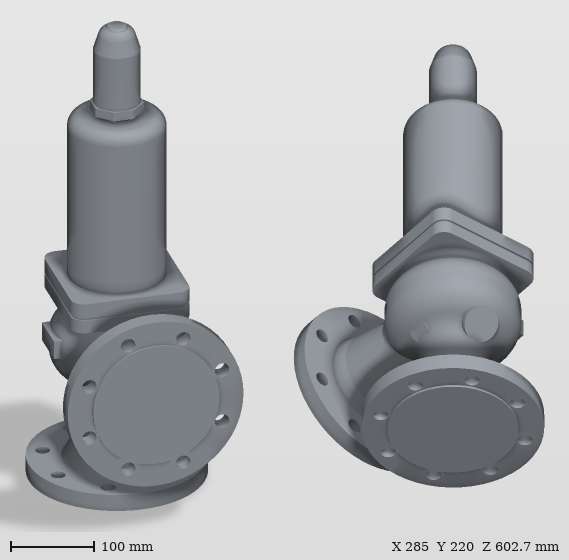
import cadquery as cq
import math


FLANGE_RADIUS = 110.0
FLANGE_THICKNESS = 24.5
RAISED_FACE_RADIUS = 79.0
RAISED_FACE_HEIGHT = 3.0
BOLT_CIRCLE_RADIUS = 90.0
BOLT_HOLE_DIAMETER = 18.0
BOLT_COUNT = 8

OUTLET_HEIGHT = 175.0
OUTLET_REACH = 175.0
NECK_FLARE_RADIUS = 67.0
OUTLET_FLARE_END = 42.0
OUTLET_FLARE_END_RADIUS = 60.4
OUTLET_NECK_RADIUS = 48.7
OUTLET_NECK_START = 65.0

INLET_FLARE_END = 47.0
INLET_FLARE_END_RADIUS = 53.7
INLET_CONE_END = 101.5
THROAT_RADIUS = 41.5
THROAT_HEIGHT = 108.0

BODY_RADIUS = 82.5
BELLY_BOTTOM = 172.3
BELLY_TOP = 188.0
LOWER_ARC_RADIUS = 40.0
UPPER_ARC_RADIUS = 34.0
COLLAR_RADIUS = 62.5
COLLAR_BOTTOM = 222.4
COLLAR_TOP = 224.2

PLATE_WIDTH = 148.0
PLATE_CORNER_RADIUS = 17.0
LOWER_PLATE_BOTTOM = 231.0
LOWER_PLATE_TOP = 248.0
UPPER_PLATE_BOTTOM = 251.0
UPPER_PLATE_TOP = 270.0
GASKET_INSET = 2.0

BONNET_RADIUS = 60.0
BONNET_TOP = 483.5
BONNET_ROUNDING = 15.5

OCTAGON_BOTTOM = 489.0
OCTAGON_TOP = 500.5
OCTAGON_FLATS = 60.5
OCTAGON_SIDES = 8
CAP_NECK_RADIUS = 27.0
CAP_NECK_TOP = 486.0
CAP_RADIUS = 28.7
CAP_CYLINDER_TOP = 571.5
CAP_CONE_TOP = 591.5
CAP_CONE_TOP_RADIUS = 22.5
CAP_CROWN_HEIGHT = 600.0
CAP_CROWN_RADIUS = 15.0
BUTTON_BASE_RADIUS = 13.2
BUTTON_TOP_RADIUS = 11.0
TOTAL_HEIGHT = 602.7

DRAIN_DIAMETER = 45.0
DRAIN_FACE_OFFSET = 56.5
BACK_DRAIN_FACE_OFFSET = 51.0
DRAIN_FACE_HEIGHT = 129.7
BACK_DRAIN_DIAMETER = 28.0
DRAIN_LENGTH = 50.0

NAME_PLATE_WIDTH = 54.0
NAME_PLATE_BOTTOM = 177.2
NAME_PLATE_TOP = 200.8
NAME_PLATE_FACE = 86.3


def arc_point(center, radius, angle):
    """Point of a circle in the radius-height plane, angle in radians."""
    return (center[0] + radius * math.cos(angle), center[1] + radius * math.sin(angle))


def make_flange():
    """Flange with its raised face on the XY plane and its back facing +Z."""
    raised_face = cq.Workplane("XY").circle(RAISED_FACE_RADIUS).extrude(RAISED_FACE_HEIGHT)
    disc = (
        cq.Workplane("XY", origin=(0, 0, RAISED_FACE_HEIGHT))
        .circle(FLANGE_RADIUS)
        .extrude(FLANGE_THICKNESS - RAISED_FACE_HEIGHT)
    )
    bolt_holes = (
        cq.Workplane("XY")
        .polarArray(BOLT_CIRCLE_RADIUS, 180 / BOLT_COUNT, 360, BOLT_COUNT)
        .circle(BOLT_HOLE_DIAMETER / 2)
        .extrude(FLANGE_THICKNESS)
    )
    return disc.union(raised_face).cut(bolt_holes)


def blending_arc(center, radius, wall_radius, wall_height):
    """Concave arc from a convex body arc to an upright wall.

    It touches the body arc from outside and becomes vertical at the given wall
    radius and height. Returns its centre, its radius and the angle at which the
    touching point lies on the body arc.
    """
    offset = wall_radius - center[0]
    rise = wall_height - center[1]
    blend_radius = (rise**2 + offset**2 - radius**2) / (2 * (radius - offset))
    blend_center = (wall_radius + blend_radius, wall_height)
    touch_angle = math.atan2(rise, blend_center[0] - center[0])
    return blend_center, blend_radius, touch_angle


def make_body():
    """Inlet neck, throat, bulging body and collar as one turned solid."""
    lower_center = (BODY_RADIUS - LOWER_ARC_RADIUS, BELLY_BOTTOM)
    upper_center = (BODY_RADIUS - UPPER_ARC_RADIUS, BELLY_TOP)

    throat_center, throat_arc_radius, lower_angle = blending_arc(
        lower_center, LOWER_ARC_RADIUS, THROAT_RADIUS, THROAT_HEIGHT
    )
    cone_end_angle = math.pi + math.asin((THROAT_HEIGHT - INLET_CONE_END) / throat_arc_radius)
    cone_end = arc_point(throat_center, throat_arc_radius, cone_end_angle)
    throat_middle_angle = (cone_end_angle + lower_angle + math.pi) / 2
    throat_middle = arc_point(throat_center, throat_arc_radius, throat_middle_angle)
    lower_touch = arc_point(lower_center, LOWER_ARC_RADIUS, lower_angle)
    lower_middle = arc_point(lower_center, LOWER_ARC_RADIUS, lower_angle / 2)

    collar_center, collar_arc_radius, upper_angle = blending_arc(
        upper_center, UPPER_ARC_RADIUS, COLLAR_RADIUS, COLLAR_BOTTOM
    )
    upper_touch = arc_point(upper_center, UPPER_ARC_RADIUS, upper_angle)
    upper_middle = arc_point(upper_center, UPPER_ARC_RADIUS, upper_angle / 2)
    collar_middle = arc_point(collar_center, collar_arc_radius, math.pi + upper_angle / 2)

    collar_fillet = LOWER_PLATE_BOTTOM - COLLAR_TOP
    fillet_center = (COLLAR_RADIUS + collar_fillet, COLLAR_TOP)
    fillet_middle = arc_point(fillet_center, collar_fillet, math.radians(135))

    profile = (
        cq.Workplane("XZ")
        .moveTo(0, FLANGE_THICKNESS)
        .lineTo(NECK_FLARE_RADIUS, FLANGE_THICKNESS)
        .lineTo(INLET_FLARE_END_RADIUS, INLET_FLARE_END)
        .lineTo(*cone_end)
        .threePointArc(throat_middle, lower_touch)
        .threePointArc(lower_middle, (BODY_RADIUS, BELLY_BOTTOM))
        .lineTo(BODY_RADIUS, BELLY_TOP)
        .threePointArc(upper_middle, upper_touch)
        .threePointArc(collar_middle, (COLLAR_RADIUS, COLLAR_BOTTOM))
        .lineTo(COLLAR_RADIUS, COLLAR_TOP)
        .threePointArc(fillet_middle, (fillet_center[0], LOWER_PLATE_BOTTOM))
        .lineTo(0, LOWER_PLATE_BOTTOM)
        .close()
    )
    return profile.revolve(360, (0, 0, 0), (0, 1, 0))


def make_outlet():
    """Outlet neck and flange, running along +X."""
    flare_end = OUTLET_REACH - OUTLET_FLARE_END
    flange_back = OUTLET_REACH - FLANGE_THICKNESS
    taper = (OUTLET_FLARE_END_RADIUS - OUTLET_NECK_RADIUS) / (flare_end - OUTLET_NECK_START)
    radius_at_axis = OUTLET_NECK_RADIUS - taper * OUTLET_NECK_START
    neck = (
        cq.Workplane("XZ")
        .lineTo(0, radius_at_axis)
        .lineTo(flare_end, OUTLET_FLARE_END_RADIUS)
        .lineTo(flange_back, NECK_FLARE_RADIUS)
        .lineTo(flange_back, 0)
        .close()
        .revolve(360, (0, 0, 0), (1, 0, 0))
    )
    flange = make_flange().rotate((0, 0, 0), (0, 1, 0), -90).translate((OUTLET_REACH, 0, 0))
    return neck.union(flange).translate((0, 0, OUTLET_HEIGHT))


def make_plate(width, corner_radius, bottom, top):
    """Square plate with rounded corners, centred on the valve axis."""
    return (
        cq.Workplane("XY", origin=(0, 0, bottom))
        .rect(width, width)
        .extrude(top - bottom)
        .edges("|Z")
        .fillet(corner_radius)
    )


def make_plate_stack():
    """Two clamping plates with a slightly smaller gasket between them."""
    lower = make_plate(PLATE_WIDTH, PLATE_CORNER_RADIUS, LOWER_PLATE_BOTTOM, LOWER_PLATE_TOP)
    upper = make_plate(PLATE_WIDTH, PLATE_CORNER_RADIUS, UPPER_PLATE_BOTTOM, UPPER_PLATE_TOP)
    gasket = make_plate(
        PLATE_WIDTH - 2 * GASKET_INSET,
        PLATE_CORNER_RADIUS - GASKET_INSET,
        LOWER_PLATE_TOP,
        UPPER_PLATE_BOTTOM,
    )
    return lower.union(gasket).union(upper)


def make_bonnet():
    """Cylindrical spring bonnet with a rounded top edge."""
    return (
        cq.Workplane("XY", origin=(0, 0, UPPER_PLATE_TOP))
        .circle(BONNET_RADIUS)
        .extrude(BONNET_TOP - UPPER_PLATE_TOP)
        .faces(">Z")
        .edges()
        .fillet(BONNET_ROUNDING)
    )


def make_cap():
    """Turned cap with an octagonal grip and a small button on top."""
    turned = (
        cq.Workplane("XZ")
        .moveTo(0, BONNET_TOP)
        .lineTo(CAP_NECK_RADIUS, BONNET_TOP)
        .lineTo(CAP_NECK_RADIUS, CAP_NECK_TOP)
        .lineTo(OCTAGON_FLATS / 2, OCTAGON_BOTTOM)
        .lineTo(CAP_RADIUS, OCTAGON_BOTTOM)
        .lineTo(CAP_RADIUS, CAP_CYLINDER_TOP)
        .lineTo(CAP_CONE_TOP_RADIUS, CAP_CONE_TOP)
        .tangentArcPoint((CAP_CROWN_RADIUS, CAP_CROWN_HEIGHT), relative=False)
        .lineTo(BUTTON_BASE_RADIUS, CAP_CROWN_HEIGHT)
        .lineTo(BUTTON_TOP_RADIUS, TOTAL_HEIGHT)
        .lineTo(0, TOTAL_HEIGHT)
        .close()
        .revolve(360, (0, 0, 0), (0, 1, 0))
    )
    octagon = (
        cq.Workplane("XY", origin=(0, 0, OCTAGON_BOTTOM))
        .polygon(OCTAGON_SIDES, OCTAGON_FLATS / math.cos(math.pi / OCTAGON_SIDES))
        .extrude(OCTAGON_TOP - OCTAGON_BOTTOM)
        .rotate((0, 0, 0), (0, 0, 1), 180 / OCTAGON_SIDES)
    )
    return turned.union(octagon)


def make_drain_boss(outward_x, outward_y, face_offset, diameter):
    """Drain boss on the side of the body given by a horizontal unit direction."""
    face_center = cq.Vector(outward_x * face_offset, outward_y * face_offset, DRAIN_FACE_HEIGHT)
    inward = cq.Vector(-outward_x, -outward_y, 1)
    boss = cq.Solid.makeCylinder(diameter / 2, DRAIN_LENGTH, face_center, inward)
    return cq.Workplane(boss)


def make_name_plate():
    """Flat name plate standing out from the -Y side of the body."""
    height = NAME_PLATE_TOP - NAME_PLATE_BOTTOM
    plate = cq.Workplane("XY").box(
        NAME_PLATE_WIDTH, NAME_PLATE_FACE, height, centered=(True, False, False)
    )
    return plate.translate((0, -NAME_PLATE_FACE, NAME_PLATE_BOTTOM))


result = (
    make_flange()
    .union(make_body())
    .union(make_outlet())
    .union(make_drain_boss(-1, 0, DRAIN_FACE_OFFSET, DRAIN_DIAMETER))
    .union(make_drain_boss(0, 1, BACK_DRAIN_FACE_OFFSET, BACK_DRAIN_DIAMETER))
    .union(make_name_plate())
    .union(make_plate_stack())
    .union(make_bonnet())
    .union(make_cap())
)